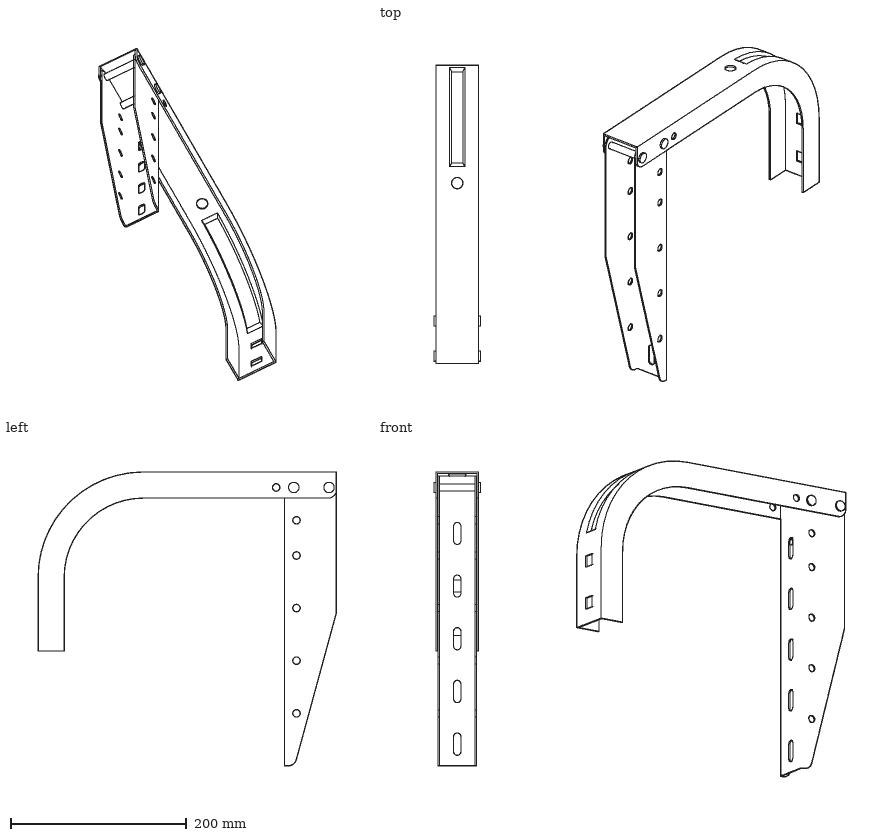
import cadquery as cq
import math


ARM_LENGTH = 340.0
ARM_DROP = 204.0
ARM_WIDTH = 49.0
ARM_DEPTH = 30.0
SHEET = 2.0
BEND_RADIUS = 120.0
FRONT_CORNER_RADIUS = 10.0
BEND_Y = ARM_LENGTH - BEND_RADIUS
BEND_Z = -BEND_RADIUS

ARM_HOLE_DIAMETER = 12.5
TOP_HOLE_Y = 205.7
LEG_HOLE_SIDE = 13.3
LEG_HOLE_DEPTHS = (130.0, 179.5)
SIDE_HOLE_DIAMETER = 8.0
SIDE_HOLE_Y = 68.7

GROOVE_WIDTH = 17.5
GROOVE_FLOOR_WIDTH = 12.5
GROOVE_DEPTH = 4.0
GROOVE_TOP_START = 4.5
GROOVE_LOW_ANGLE = 12.0
TOP_RAMP_SLOPE = 45.0
LOW_RAMP_SLOPE = 30.0
RAMP_REACH = 13.5
BULGE_WALL = 2.0

SIDE_GAP = 0.5
BRACKET_WIDTH = ARM_WIDTH - 2 * (SHEET + SIDE_GAP)
BRACKET_SHEET = 1.7
BRACKET_DEPTH = 59.5
BRACKET_TOP = -4.8
BRACKET_BOTTOM = -335.0
TAPER_START = -160.5
TOE_DEPTH = 12.0
TOE_RADIUS = 10.0
HEEL_RADIUS = 12.0
BRACKET_BEND_RADIUS = 2.55

BRACKET_HOLE_Y = 45.5
BRACKET_HOLE_DEPTHS = (55.0, 95.2, 155.0, 215.0, 275.0)
SLOT_COUNT = 5
SLOT_FIRST_DEPTH = 70.0
SLOT_PITCH = 60.0
SLOT_LENGTH = 25.0
SLOT_WIDTH = 8.0

PIN_DIAMETER = 8.0
PIN_HEAD_DIAMETER = 12.0
PIN_LENGTH = 53.0
PIN_Z = -17.7
PIN_YS = (8.5, 48.5)


def across(profile, width):
    """Extrude a YZ profile by the given width, centred on X = 0."""
    return profile.extrude(width / 2, both=True)


def cross_rod(y, z, diameter, length):
    """Cylinder along X, centred on X = 0."""
    return across(cq.Workplane("YZ").center(y, z).circle(diameter / 2), length)


def arm_profile(inset, depth):
    """Side outline of the arm between two distances below its outer face."""
    outer = BEND_RADIUS - inset
    inner = BEND_RADIUS - depth
    slant = math.sqrt(0.5)
    return (
        cq.Workplane("YZ")
        .moveTo(0, -inset)
        .lineTo(BEND_Y, -inset)
        .threePointArc((BEND_Y + outer * slant, BEND_Z + outer * slant), (BEND_Y + outer, BEND_Z))
        .lineTo(BEND_Y + outer, -ARM_DROP)
        .lineTo(BEND_Y + inner, -ARM_DROP)
        .lineTo(BEND_Y + inner, BEND_Z)
        .threePointArc((BEND_Y + inner * slant, BEND_Z + inner * slant), (BEND_Y, -depth))
        .lineTo(0, -depth)
        .close()
    )


def make_arm():
    arm = across(arm_profile(0, ARM_DEPTH), ARM_WIDTH)
    arm = arm.edges(cq.selectors.NearestToPointSelector((0, 0, -ARM_DEPTH))).fillet(FRONT_CORNER_RADIUS)
    arm = arm.cut(across(arm_profile(SHEET, ARM_DEPTH), ARM_WIDTH - 2 * SHEET))
    top_hole = cq.Workplane("XY").center(0, TOP_HOLE_Y).circle(ARM_HOLE_DIAMETER / 2).extrude(-2 * SHEET)
    arm = arm.cut(top_hole)
    leg_holes = (
        cq.Workplane("XZ", origin=(0, ARM_LENGTH, 0))
        .pushPoints([(0, -depth) for depth in LEG_HOLE_DEPTHS])
        .rect(LEG_HOLE_SIDE, LEG_HOLE_SIDE)
        .extrude(2 * SHEET)
    )
    arm = arm.cut(leg_holes)
    return arm.cut(cross_rod(SIDE_HOLE_Y, PIN_Z, SIDE_HOLE_DIAMETER, ARM_WIDTH))


def ramp_ends(foot_y, foot_z, slope, shift):
    """Upper and lower end of a ramp that falls toward +Y through a foot on the outer face.

    The shift moves the ramp square to its plane, into the arm.
    """
    angle = math.radians(slope)
    middle_y = foot_y - shift * math.sin(angle)
    middle_z = foot_z - shift * math.cos(angle)
    reach_y = RAMP_REACH * math.cos(angle)
    reach_z = RAMP_REACH * math.sin(angle)
    return (middle_y - reach_y, middle_z + reach_z), (middle_y + reach_y, middle_z - reach_z)


def bend_band(section, ramp_shift):
    """Turn a section round the bend and end it on the two ramps of the groove.

    The section lists (half width, depth below the outer face) points.
    """
    points = [(x, -depth) for x, depth in section]
    points += [(-x, -depth) for x, depth in reversed(section)]
    band = (
        cq.Workplane("XZ", origin=(0, BEND_Y, 0))
        .polyline(points)
        .close()
        .revolve(90, (0, BEND_Z, 0), (-1, BEND_Z, 0))
    )
    low_angle = math.radians(GROOVE_LOW_ANGLE)
    low_foot_y = BEND_Y + BEND_RADIUS * math.cos(low_angle)
    low_foot_z = BEND_Z + BEND_RADIUS * math.sin(low_angle)
    top_outer, top_inner = ramp_ends(BEND_Y + GROOVE_TOP_START, 0, TOP_RAMP_SLOPE, ramp_shift)
    low_inner, low_outer = ramp_ends(low_foot_y, low_foot_z, LOW_RAMP_SLOPE, ramp_shift)
    corner = (low_outer[0], top_outer[1])
    span = cq.Workplane("YZ").polyline([top_outer, top_inner, low_inner, low_outer, corner]).close()
    return band.intersect(across(span, ARM_WIDTH))


def press_groove(arm):
    """Add the bulge under the bent sheet, then sink the groove into it from outside."""
    rim = GROOVE_WIDTH / 2
    floor = GROOVE_FLOOR_WIDTH / 2
    bulge = bend_band(
        [(rim + BULGE_WALL, SHEET / 2), (floor + BULGE_WALL, GROOVE_DEPTH + SHEET)],
        SHEET,
    )
    groove = bend_band([(rim, -SHEET), (rim, 0), (floor, GROOVE_DEPTH)], 0)
    return arm.union(bulge).cut(groove)


def make_bracket():
    outline = (
        cq.Workplane("YZ")
        .moveTo(0, BRACKET_TOP)
        .lineTo(BRACKET_DEPTH, BRACKET_TOP)
        .lineTo(BRACKET_DEPTH, BRACKET_BOTTOM)
        .lineTo(BRACKET_DEPTH - TOE_DEPTH, BRACKET_BOTTOM)
        .lineTo(0, TAPER_START)
        .close()
    )
    bracket = across(outline, BRACKET_WIDTH)
    toe = cq.selectors.NearestToPointSelector((0, BRACKET_DEPTH - TOE_DEPTH, BRACKET_BOTTOM))
    bracket = bracket.edges(toe).fillet(TOE_RADIUS)
    heel = cq.selectors.NearestToPointSelector((0, 0, BRACKET_TOP))
    bracket = bracket.edges(heel).fillet(HEEL_RADIUS)
    bracket = bracket.edges("|Z and >Y").fillet(BRACKET_BEND_RADIUS)
    height = BRACKET_TOP - BRACKET_BOTTOM
    inside = (
        cq.Workplane("XY", origin=(0, 0, BRACKET_BOTTOM))
        .rect(BRACKET_WIDTH - 2 * BRACKET_SHEET, 2 * (BRACKET_DEPTH - BRACKET_SHEET))
        .extrude(height)
        .edges("|Z and >Y")
        .fillet(BRACKET_BEND_RADIUS - BRACKET_SHEET)
    )
    bracket = bracket.cut(inside)
    slot_centers = [(0, -SLOT_FIRST_DEPTH - i * SLOT_PITCH) for i in range(SLOT_COUNT)]
    slots = (
        cq.Workplane("XZ", origin=(0, BRACKET_DEPTH, 0))
        .pushPoints(slot_centers)
        .slot2D(SLOT_LENGTH, SLOT_WIDTH, 90)
        .extrude(2 * BRACKET_SHEET)
    )
    bracket = bracket.cut(slots)
    for depth in BRACKET_HOLE_DEPTHS:
        bracket = bracket.cut(cross_rod(BRACKET_HOLE_Y, -depth, SIDE_HOLE_DIAMETER, BRACKET_WIDTH))
    return bracket


def make_pin(y):
    pin = cross_rod(y, PIN_Z, PIN_DIAMETER, PIN_LENGTH)
    heads = cross_rod(y, PIN_Z, PIN_HEAD_DIAMETER, PIN_LENGTH)
    return pin.union(heads.cut(cross_rod(y, PIN_Z, PIN_HEAD_DIAMETER, ARM_WIDTH)))


result = press_groove(make_arm()).union(make_bracket())
for pin_y in PIN_YS:
    result = result.union(make_pin(pin_y))